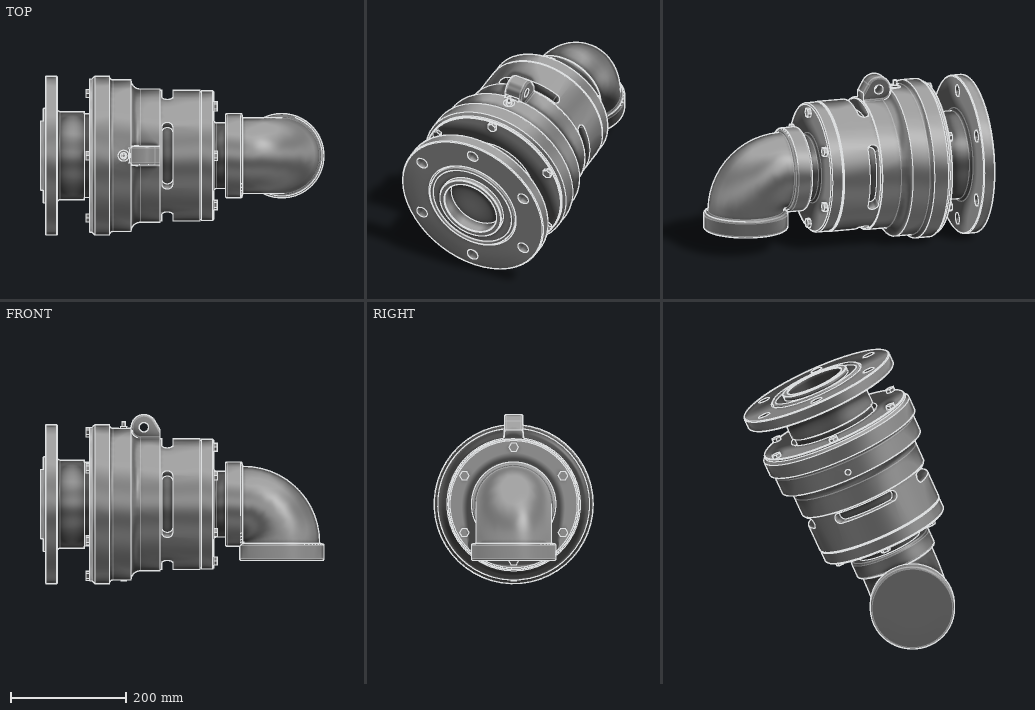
import cadquery as cq
import math


LINER_RADIUS = 120.62 / 2
LINER_BORE_RADIUS = 101.6 / 2
LINER_MOUTH_RADIUS = 103.0 / 2
LINER_CHAMFER = 1.0
LINER_MOUTH_DEPTH = 1.5
BORE_DEPTH = 25.5

FLANGE_X = 8.6
FLANGE_END_X = 29.4
FLANGE_RADIUS = 276.2 / 2
FLANGE_EDGE = 1.5
FLANGE_HOLE_DIAMETER = 20.6
FLANGE_HOLE_CIRCLE_RADIUS = 228.6 / 2
FLANGE_HOLE_COUNT = 6

BEAD_INNER_RADIUS = 77.0
BEAD_OUTER_RADIUS = 82.5
BEAD_HEIGHT = 4.0
RECESS_RADIUS = 85.5
RECESS_DEPTH = 3.0

NECK_RADIUS = 76.6
NECK_FILLET = 5.0
NECK_STEP_X = 76.3
NECK_STEP_RADIUS = 145.5 / 2

COVER_X = 84.8
COVER_RADIUS = 133.3
COVER_CHAMFER = 1.3
COVER_RECESS_RADIUS = 81.0
COVER_RECESS_DEPTH = 12.0
RIM_X = 89.5
RIM_END_X = 119.7
RIM_RADIUS = 276.2 / 2
CHEST_END_X = 157.3
CHEST_RADIUS = 131.7
SHELL_RADIUS = 115.8
SHELL_X = CHEST_END_X + CHEST_RADIUS - SHELL_RADIUS
SHELL_END_X = 207.5
BODY_RADIUS = 113.5
BODY_END_X = 276.8
GROOVE_RADIUS = 111.0
END_PLATE_X = 279.0
END_PLATE_END_X = 300.9
END_PLATE_RADIUS = 112.8
END_PLATE_CHAMFER = 2.5

SLOT_X = 220.1
SLOT_WIDTH = 19.0
SLOT_FLOOR_RADIUS = 93.0
SLOT_HALF_ANGLE = 25.8
SLOT_COUNT = 4

HEAD_ACROSS_CORNERS = 16.5
HEAD_HEIGHT = 5.8
COVER_BOLT_CIRCLE_RADIUS = 124.5
END_BOLT_CIRCLE_RADIUS = 98.7
BOLT_COUNT = 6
COVER_HEAD_TURN = 0
END_HEAD_TURN = 30

PIPE_RADIUS = 114.3 / 2
PIPE_FILLET = 4.2
COLLAR_RADIUS = 146.6 / 2
COLLAR_LENGTH = 29.3
COLLAR_EDGE = 3.3
ELBOW_RADIUS = 65.8
BEND_RADIUS = 66.3
TOTAL_LENGTH = 491.88
OUTLET_X = TOTAL_LENGTH - COLLAR_RADIUS
COLLAR_GAP = 2.3
ELBOW_REACH = BEND_RADIUS + COLLAR_GAP + COLLAR_LENGTH

LUG_X = 179.4
LUG_TOP_Z = 293.63 - FLANGE_RADIUS
LUG_RADIUS = 22.2
LUG_Z = LUG_TOP_Z - LUG_RADIUS
LUG_WIDTH = 32.0
LUG_EDGE = 3.0
LUG_HOLE_DIAMETER = 15.9
LUG_SHOULDER_Z = 129.0
LUG_ROOT_Z = 105.0
LUG_FOOT_FILLET = 3.0
LUG_FOOT_SWEEP = 75
LUG_HEEL_FILLET = 4.5

FITTING_X = 144.3
SPOTFACE_DIAMETER = 19.0
SPOTFACE_Z = 131.0
FITTING_BASE_DIAMETER = 11.0
FITTING_BASE_Z = 135.0
FITTING_STEM_DIAMETER = 6.4
FITTING_STEM_Z = 143.2
PLUG_DIAMETER = 10.0
PLUG_Z = -132.9
FITTING_ROOT_Z = 120.0


def cylinder_x(x_start, x_end, radius):
    return cq.Workplane("YZ").workplane(offset=x_start).circle(radius).extrude(x_end - x_start)


def cylinder_z(x, z_start, z_end, diameter):
    plane = cq.Workplane("XY").workplane(offset=z_start).center(x, 0)
    return plane.circle(diameter / 2).extrude(z_end - z_start)


def spin(profile):
    """Revolve a half profile drawn as (x, radius) about the main axis."""
    return profile.close().revolve(360, (0, 0, 0), (1, 0, 0))


def fillet_midpoint(center, radius, angle):
    return (
        center[0] + radius * math.cos(math.radians(angle)),
        center[1] + radius * math.sin(math.radians(angle)),
    )


def inlet():
    bead_middle_radius = (BEAD_INNER_RADIUS + BEAD_OUTER_RADIUS) / 2
    bead_round_x = FLANGE_X - BEAD_HEIGHT + (BEAD_OUTER_RADIUS - BEAD_INNER_RADIUS) / 2
    neck_fillet_center = (FLANGE_END_X + NECK_FILLET, NECK_RADIUS + NECK_FILLET)
    profile = (
        cq.Workplane("XY")
        .moveTo(BORE_DEPTH, 0)
        .lineTo(BORE_DEPTH, LINER_BORE_RADIUS)
        .lineTo(LINER_MOUTH_DEPTH, LINER_BORE_RADIUS)
        .lineTo(0, LINER_MOUTH_RADIUS)
        .lineTo(0, LINER_RADIUS - LINER_CHAMFER)
        .lineTo(LINER_CHAMFER, LINER_RADIUS)
        .lineTo(FLANGE_X, LINER_RADIUS)
        .lineTo(FLANGE_X, BEAD_INNER_RADIUS)
        .lineTo(bead_round_x, BEAD_INNER_RADIUS)
        .threePointArc(
            (FLANGE_X - BEAD_HEIGHT, bead_middle_radius),
            (bead_round_x, BEAD_OUTER_RADIUS),
        )
        .lineTo(FLANGE_X + RECESS_DEPTH, BEAD_OUTER_RADIUS)
        .lineTo(FLANGE_X, RECESS_RADIUS)
        .lineTo(FLANGE_X, FLANGE_RADIUS - FLANGE_EDGE)
        .lineTo(FLANGE_X + FLANGE_EDGE, FLANGE_RADIUS)
        .lineTo(FLANGE_END_X - FLANGE_EDGE, FLANGE_RADIUS)
        .lineTo(FLANGE_END_X, FLANGE_RADIUS - FLANGE_EDGE)
        .lineTo(FLANGE_END_X, NECK_RADIUS + NECK_FILLET)
        .threePointArc(
            fillet_midpoint(neck_fillet_center, NECK_FILLET, 225),
            (FLANGE_END_X + NECK_FILLET, NECK_RADIUS),
        )
        .lineTo(NECK_STEP_X, NECK_RADIUS)
        .lineTo(NECK_STEP_X, NECK_STEP_RADIUS)
        .lineTo(COVER_X + COVER_RECESS_DEPTH, NECK_STEP_RADIUS)
        .lineTo(COVER_X + COVER_RECESS_DEPTH, 0)
    )
    holes = (
        cq.Workplane("YZ")
        .polarArray(FLANGE_HOLE_CIRCLE_RADIUS, 90, 360, FLANGE_HOLE_COUNT)
        .circle(FLANGE_HOLE_DIAMETER / 2)
        .extrude(FLANGE_END_X)
    )
    return spin(profile).cut(holes)


def housing():
    rim_fillet = RIM_RADIUS - CHEST_RADIUS
    rim_fillet_center = (RIM_END_X + rim_fillet, RIM_RADIUS)
    shell_fillet = CHEST_RADIUS - SHELL_RADIUS
    shell_fillet_center = (SHELL_X, CHEST_RADIUS)
    pipe_fillet_center = (END_PLATE_END_X + PIPE_FILLET, PIPE_RADIUS + PIPE_FILLET)
    profile = (
        cq.Workplane("XY")
        .moveTo(COVER_X + COVER_RECESS_DEPTH, 0)
        .lineTo(COVER_X + COVER_RECESS_DEPTH, COVER_RECESS_RADIUS)
        .lineTo(COVER_X, COVER_RECESS_RADIUS)
        .lineTo(COVER_X, COVER_RADIUS - COVER_CHAMFER)
        .lineTo(COVER_X + COVER_CHAMFER, COVER_RADIUS)
        .lineTo(RIM_X, COVER_RADIUS)
        .lineTo(RIM_X + RIM_RADIUS - COVER_RADIUS, RIM_RADIUS)
        .lineTo(RIM_END_X, RIM_RADIUS)
        .threePointArc(
            fillet_midpoint(rim_fillet_center, rim_fillet, 225),
            (RIM_END_X + rim_fillet, CHEST_RADIUS),
        )
        .lineTo(CHEST_END_X, CHEST_RADIUS)
        .threePointArc(
            fillet_midpoint(shell_fillet_center, shell_fillet, 225),
            (SHELL_X, SHELL_RADIUS),
        )
        .lineTo(SHELL_END_X, SHELL_RADIUS)
        .lineTo(SHELL_END_X, BODY_RADIUS)
        .lineTo(BODY_END_X, BODY_RADIUS)
        .lineTo(BODY_END_X, GROOVE_RADIUS)
        .lineTo(END_PLATE_X, GROOVE_RADIUS)
        .lineTo(END_PLATE_X, END_PLATE_RADIUS)
        .lineTo(END_PLATE_END_X - END_PLATE_CHAMFER, END_PLATE_RADIUS)
        .lineTo(END_PLATE_END_X, END_PLATE_RADIUS - END_PLATE_CHAMFER)
        .lineTo(END_PLATE_END_X, PIPE_RADIUS + PIPE_FILLET)
        .threePointArc(
            fillet_midpoint(pipe_fillet_center, PIPE_FILLET, 225),
            (END_PLATE_END_X + PIPE_FILLET, PIPE_RADIUS),
        )
        .lineTo(END_PLATE_END_X + PIPE_FILLET, 0)
    )
    return spin(profile)


def slot_cutter():
    """One slot along the circumference, centred on +Z: a wedge with a half-round drilled end on each side."""
    cut_radius = BODY_RADIUS + SLOT_WIDTH
    tip_y = cut_radius * math.sin(math.radians(SLOT_HALF_ANGLE))
    tip_z = cut_radius * math.cos(math.radians(SLOT_HALF_ANGLE))
    cutter = (
        cq.Workplane("YZ")
        .workplane(offset=SLOT_X - SLOT_WIDTH / 2)
        .polyline([(0, 0), (tip_y, tip_z), (-tip_y, tip_z)])
        .close()
        .extrude(SLOT_WIDTH)
    )
    half_drill = (
        cq.Workplane("XY")
        .moveTo(SLOT_X - SLOT_WIDTH / 2, 0)
        .threePointArc((SLOT_X, SLOT_WIDTH / 2), (SLOT_X + SLOT_WIDTH / 2, 0))
        .close()
        .extrude(cut_radius)
    )
    core = cylinder_x(SLOT_X - SLOT_WIDTH, SLOT_X + SLOT_WIDTH, SLOT_FLOOR_RADIUS)
    end = half_drill.rotate((0, 0, 0), (1, 0, 0), -SLOT_HALF_ANGLE).cut(core)
    return cutter.cut(core).union(end).union(end.mirror("XZ"))


def cut_slots(body):
    for index in range(SLOT_COUNT):
        body = body.cut(slot_cutter().rotate((0, 0, 0), (1, 0, 0), index * 360 / SLOT_COUNT))
    return body


def bolt_heads(x_start, circle_radius, turn):
    """Six heads; at zero turn a corner of each points away from the main axis."""
    heads = cq.Workplane("YZ")
    head = (
        cq.Workplane("YZ")
        .workplane(offset=x_start)
        .polygon(6, HEAD_ACROSS_CORNERS)
        .extrude(HEAD_HEIGHT)
        .rotate((0, 0, 0), (1, 0, 0), turn)
        .translate((0, circle_radius, 0))
    )
    for index in range(BOLT_COUNT):
        heads.add(head.rotate((0, 0, 0), (1, 0, 0), 90 + index * 360 / BOLT_COUNT))
    return heads


def collar():
    """Elbow end collar with its neck, running along +X from the outer face at X = 0."""
    fillet_center = (COLLAR_LENGTH + COLLAR_GAP, ELBOW_RADIUS + COLLAR_GAP)
    neck = (
        cq.Workplane("XY")
        .moveTo(COLLAR_LENGTH / 2, 0)
        .lineTo(COLLAR_LENGTH / 2, ELBOW_RADIUS + COLLAR_GAP)
        .lineTo(COLLAR_LENGTH, ELBOW_RADIUS + COLLAR_GAP)
        .threePointArc(
            fillet_midpoint(fillet_center, COLLAR_GAP, 225),
            (COLLAR_LENGTH + COLLAR_GAP, ELBOW_RADIUS),
        )
        .lineTo(COLLAR_LENGTH + COLLAR_GAP, 0)
    )
    return cylinder_x(0, COLLAR_LENGTH, COLLAR_RADIUS).edges().fillet(COLLAR_EDGE).union(spin(neck))


def elbow():
    inlet_x = OUTLET_X - ELBOW_REACH
    bend = (
        cq.Workplane("YZ")
        .workplane(offset=OUTLET_X - BEND_RADIUS)
        .circle(ELBOW_RADIUS)
        .revolve(90, (-1, -BEND_RADIUS, 0), (1, -BEND_RADIUS, 0))
    )
    inlet_collar = collar().translate((inlet_x, 0, 0))
    outlet_collar = collar().rotate((0, 0, 0), (0, 1, 0), -90).translate((OUTLET_X, 0, -ELBOW_REACH))
    pipe = cylinder_x(END_PLATE_END_X, inlet_x + COLLAR_EDGE, PIPE_RADIUS)
    return bend.union(inlet_collar).union(outlet_collar).union(pipe)


def lug():
    corner_x = SHELL_END_X - LUG_X
    corner_z = LUG_SHOULDER_Z - LUG_Z
    corner_angle = math.atan2(corner_z, corner_x)
    tangent_angle = corner_angle + math.acos(LUG_RADIUS / math.hypot(corner_x, corner_z))
    tangent_point = (
        LUG_X + LUG_RADIUS * math.cos(tangent_angle),
        LUG_Z + LUG_RADIUS * math.sin(tangent_angle),
    )
    plate = (
        cq.Workplane("XZ")
        .workplane(offset=-LUG_WIDTH / 2)
        .moveTo(LUG_X - LUG_RADIUS, LUG_ROOT_Z)
        .lineTo(LUG_X - LUG_RADIUS, LUG_Z)
        .threePointArc((LUG_X, LUG_TOP_Z), tangent_point)
        .lineTo(SHELL_END_X, LUG_SHOULDER_Z)
        .lineTo(SHELL_END_X, LUG_ROOT_Z)
        .close()
        .extrude(LUG_WIDTH)
    )
    eye_edges = cq.selectors.BoxSelector(
        (LUG_X - 2 * LUG_RADIUS, -LUG_WIDTH, LUG_SHOULDER_Z - LUG_RADIUS / 2),
        (SHELL_END_X - LUG_EDGE, LUG_WIDTH, LUG_TOP_Z + LUG_RADIUS),
    )
    plate = plate.faces("<Y or >Y").edges(eye_edges).fillet(LUG_EDGE)
    hole = (
        cq.Workplane("XZ")
        .center(LUG_X, LUG_Z)
        .circle(LUG_HOLE_DIAMETER / 2)
        .extrude(LUG_WIDTH, both=True)
    )
    return plate.union(lug_foot()).union(lug_heel()).cut(hole)


def lug_heel():
    """Concave fillet joining the round front of the lug to the chest."""
    width = LUG_WIDTH - 2 * LUG_EDGE
    front_x = LUG_X - LUG_RADIUS + LUG_EDGE
    toe_x = LUG_X - LUG_RADIUS - LUG_HEEL_FILLET
    toe_z = math.sqrt(CHEST_RADIUS**2 - (width / 2) ** 2)
    center = (toe_x, toe_z + LUG_HEEL_FILLET)
    return (
        cq.Workplane("XZ")
        .workplane(offset=-width / 2)
        .moveTo(toe_x, LUG_ROOT_Z)
        .lineTo(toe_x, toe_z)
        .threePointArc(
            fillet_midpoint(center, LUG_HEEL_FILLET, -45),
            (LUG_X - LUG_RADIUS, center[1]),
        )
        .lineTo(front_x, center[1])
        .lineTo(front_x, LUG_ROOT_Z)
        .close()
        .extrude(width)
    )


def lug_foot():
    """Concave fillets joining the lug sides to the shell, bent upward with the shell's own fillet."""
    half_width = LUG_WIDTH / 2
    toe = half_width + LUG_FOOT_FILLET
    toe_z = math.sqrt(SHELL_RADIUS**2 - toe**2)
    center = (toe, toe_z + LUG_FOOT_FILLET)
    profile = (
        cq.Workplane("YZ")
        .workplane(offset=SHELL_X)
        .moveTo(0, center[1])
        .lineTo(half_width, center[1])
        .threePointArc(fillet_midpoint(center, LUG_FOOT_FILLET, 225), (toe, toe_z))
        .lineTo(toe, LUG_ROOT_Z)
        .lineTo(0, LUG_ROOT_Z)
        .close()
    )
    side = profile.extrude(SHELL_END_X - SHELL_X)
    bend = (
        side.faces("<X")
        .wires()
        .toPending()
        .revolve(LUG_FOOT_SWEEP, (0, CHEST_RADIUS, 0), (1, CHEST_RADIUS, 0), combine=False)
    )
    side = side.union(bend)
    return side.union(side.mirror("XZ"))


def fitting():
    base = cylinder_z(FITTING_X, FITTING_ROOT_Z, FITTING_BASE_Z, FITTING_BASE_DIAMETER)
    stem = cylinder_z(FITTING_X, FITTING_ROOT_Z, FITTING_STEM_Z, FITTING_STEM_DIAMETER)
    plug = cylinder_z(FITTING_X, PLUG_Z, -FITTING_ROOT_Z, PLUG_DIAMETER)
    return base.union(stem).union(plug)


result = inlet().union(cut_slots(housing())).union(elbow())
result = result.cut(cylinder_z(FITTING_X, SPOTFACE_Z, RIM_RADIUS, SPOTFACE_DIAMETER))
result = result.union(lug()).union(fitting())
for heads in (
    bolt_heads(COVER_X - HEAD_HEIGHT, COVER_BOLT_CIRCLE_RADIUS, COVER_HEAD_TURN),
    bolt_heads(END_PLATE_END_X, END_BOLT_CIRCLE_RADIUS, END_HEAD_TURN),
):
    for bolt_head in heads.objects:
        result = result.union(cq.Workplane(bolt_head))